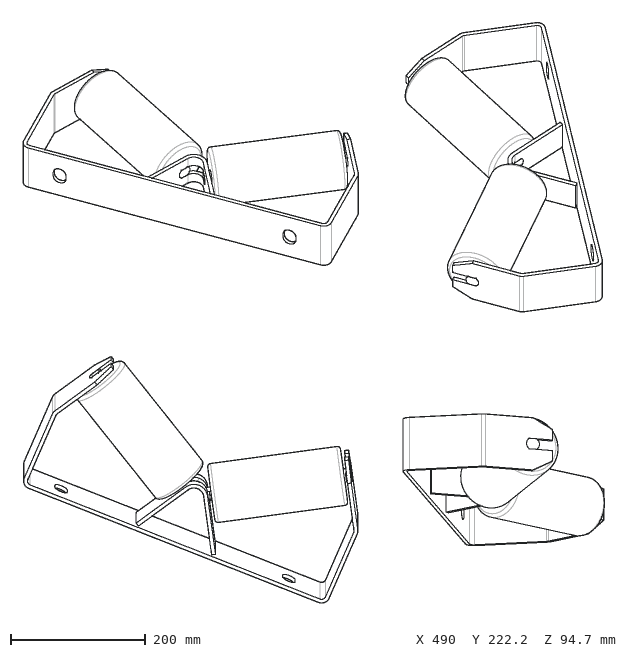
import cadquery as cq
import math

thickness = 6.0
lean_angle = 60.0

roller_diameter = 88.5
roller_length = 199.0
rim_radius = 5.0
roller_x = 110.5
roller_y = 136.0
roller_tilt = 1.9
shaft_diameter = 20.0
flat_width = 16.0
support_gap = 5.0
neck_length = 2.5

band_length = 490.0
band_height = 80.0
bend_radius = 12.2
arm_reach = 31.0
tip_chamfer = 16.0
mount_spacing = 366.0
mount_width = 20.0
mount_height = 27.5

bracket_height = 50.5
apex_radius = 20.0

half_span = roller_length / 2 + support_gap
shaft_half = half_span + thickness
lean = math.radians(lean_angle)
along_x, along_y = math.cos(lean), math.sin(lean)
across_x, across_y = along_y, -along_x
end_drop = shaft_half * math.sin(math.radians(roller_tilt))
axis_rise = math.tan(math.radians(roller_tilt))
bracket_z = -2 * end_drop
bend_inner_radius = bend_radius - thickness
slot_depth = 4 * thickness


def place(across, along):
    """XY point measured from the left roller middle."""
    return (-roller_x + across * across_x + along * along_x,
            roller_y + across * across_y + along * along_y)


def along_at_x(across, x):
    """Distance up the sheet face at 'across' where it meets the given X."""
    return (x + roller_x - across * across_x) / along_x


def along_at_y(across, y):
    """Distance up the sheet face at 'across' where it meets the given Y."""
    return (y - roller_y - across * across_y) / along_y


def shaft_plane(distance):
    """Plane across the left roller axis; local X runs up the arm."""
    axis = cq.Vector(across_x, across_y, -axis_rise).normalized()
    middle = cq.Vector(-roller_x, roller_y, -end_drop)
    return cq.Plane(origin=middle + axis * distance, xDir=(along_x, along_y, 0), normal=axis)


def make_roller():
    """Left roller: rounded drum with a round neck and a flattened shaft end on each side."""
    drum = (
        cq.Workplane(shaft_plane(-roller_length / 2))
        .circle(roller_diameter / 2)
        .extrude(roller_length)
        .edges()
        .fillet(rim_radius)
    )
    neck_half = roller_length / 2 + neck_length
    neck = cq.Workplane(shaft_plane(-neck_half)).circle(shaft_diameter / 2).extrude(2 * neck_half)
    flats = cq.Workplane(shaft_plane(-shaft_half)).rect(shaft_diameter, flat_width).extrude(2 * shaft_half)
    rod = cq.Workplane(shaft_plane(-shaft_half)).circle(shaft_diameter / 2).extrude(2 * shaft_half)
    return drum.union(neck).union(rod.intersect(flats))


def shaft_slot(middle):
    """Open slot that seats one flattened shaft end, running on up the arm."""
    length = 2 * arm_reach
    plane = shaft_plane(middle - slot_depth / 2)
    seat = cq.Workplane(plane).circle(shaft_diameter / 2).extrude(slot_depth)
    run = cq.Workplane(plane).center(length / 2, 0).rect(length, shaft_diameter).extrude(slot_depth)
    flats = cq.Workplane(plane).rect(2 * length, flat_width).extrude(slot_depth)
    return seat.union(run).intersect(flats)


def mirrored(half):
    """Join a left half to its mirror image across the YZ plane."""
    return half.union(half.mirror("YZ"))


def make_band():
    """Bent band with two leaning arms, slotted at their tips, and two mounting holes."""
    left = -band_length / 2
    inner, outer = -half_span, -shaft_half
    outer_knee = place(outer, along_at_x(outer, left))
    inner_knee = place(inner, along_at_x(inner, left + thickness))
    half = (
        cq.Workplane("XY", origin=(0, 0, -band_height / 2))
        .polyline([
            (0, 0),
            (left, 0),
            outer_knee,
            place(outer, arm_reach),
            place(inner, arm_reach),
            inner_knee,
            (left + thickness, thickness),
            (0, thickness),
        ])
        .close()
        .extrude(band_height)
    )

    def bend(body, point, radius):
        corner = cq.selectors.NearestToPointSelector((*point, 0))
        return body.edges("|Z").edges(corner).fillet(radius)

    for point in [(left, 0), outer_knee]:
        half = bend(half, point, bend_radius)
    for point in [(left + thickness, thickness), inner_knee]:
        half = bend(half, point, bend_inner_radius)

    tip_plane = cq.Plane(
        origin=(*place(outer, 0), 0), xDir=(along_x, along_y, 0), normal=(across_x, across_y, 0)
    )
    for side in (1, -1):
        edge = side * band_height / 2
        corner = (
            cq.Workplane(tip_plane)
            .polyline([(0, edge), (arm_reach, edge), (arm_reach, edge - side * tip_chamfer)])
            .close()
            .extrude(thickness)
        )
        half = half.cut(corner)

    half = half.cut(shaft_slot(-half_span - thickness / 2))
    mount_hole = (
        cq.Workplane("XZ", origin=(-mount_spacing / 2, 0, 0))
        .slot2D(mount_height, mount_width, 90)
        .extrude(-thickness)
    )
    return mirrored(half.cut(mount_hole))


def make_bracket():
    """Inverted V between the rollers, with one slot running over its apex."""
    outer, inner = half_span, shaft_half
    foot = along_at_y(inner, thickness)
    outer_apex = place(outer, along_at_x(outer, 0))
    inner_apex = place(inner, along_at_x(inner, 0))
    foot_outer = place(outer, foot)
    foot_inner = place(inner, foot)
    whole = (
        cq.Workplane("XY", origin=(0, 0, bracket_z - bracket_height / 2))
        .polyline([
            outer_apex,
            foot_outer,
            foot_inner,
            inner_apex,
            (-foot_inner[0], foot_inner[1]),
            (-foot_outer[0], foot_outer[1]),
        ])
        .close()
        .extrude(bracket_height)
    )
    for point, radius in [(outer_apex, apex_radius), (inner_apex, apex_radius - thickness)]:
        corner = cq.selectors.NearestToPointSelector((*point, bracket_z))
        whole = whole.edges("|Z").edges(corner).fillet(radius)

    left_side = (
        cq.Workplane("XY")
        .box(band_length, band_length, band_length)
        .translate((-band_length / 2, 0, 0))
    )
    half = whole.intersect(left_side)
    return mirrored(half.cut(shaft_slot(half_span + thickness / 2)))


band = make_band()
bracket = make_bracket()
left_roller = make_roller()
rollers = [left_roller, left_roller.mirror("YZ")]

result = cq.Compound.makeCompound([
    band.solids().val(),
    bracket.solids().val(),
    *[roller.solids().val() for roller in rollers],
])